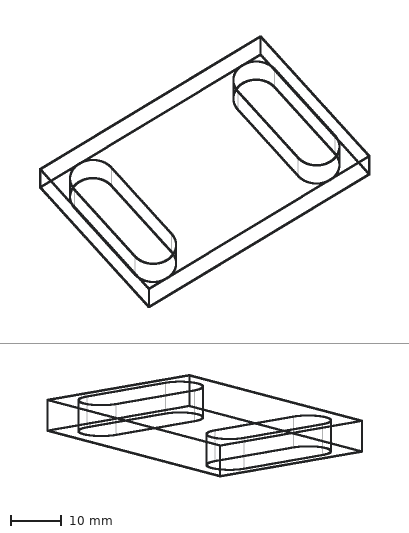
import cadquery as cq

plate_width = 36.0
plate_length = 54.0
plate_thickness = 6.2

slot_length = 29.0
slot_width = 9.0
slot_spacing = 40.0

plate = cq.Workplane("XY").box(plate_width, plate_length, plate_thickness)

result = (
    plate.faces(">Z")
    .workplane()
    .pushPoints([(0, -slot_spacing / 2), (0, slot_spacing / 2)])
    .slot2D(slot_length, slot_width)
    .cutThruAll()
)